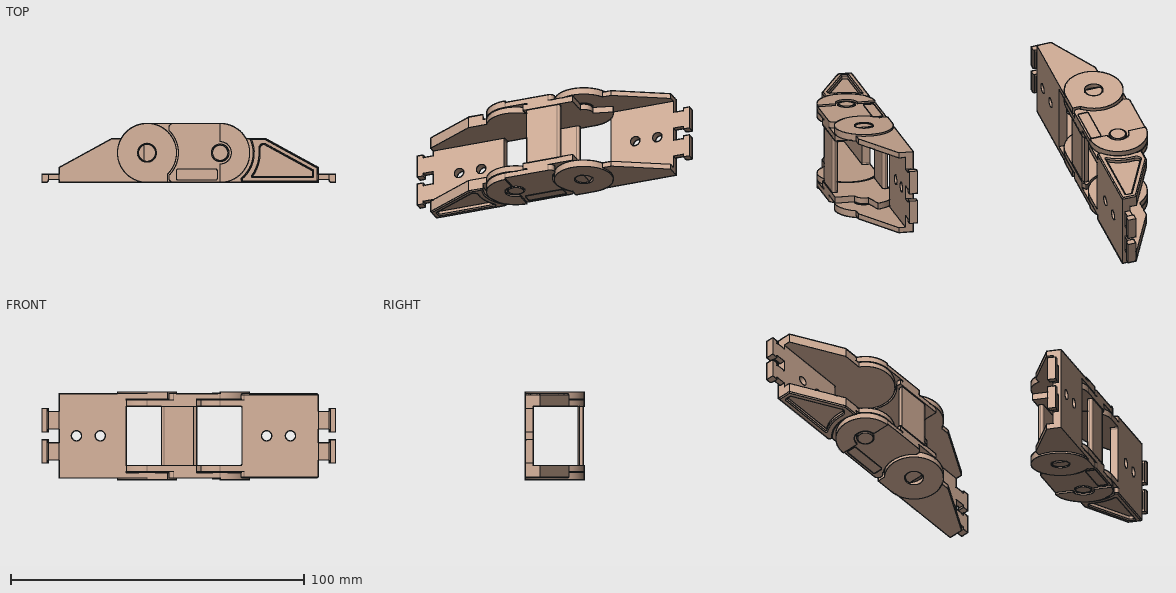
import cadquery as cq
import math

LENGTH = 100.3
FRAME_END = 44.2
THICKNESS = 20.2
OUTER_WIDTH = 30.0
BODY_WIDTH = 28.8
WINDOW_WIDTH = 20.2
HINGE_RADIUS = THICKNESS / 2
HINGE_Y = HINGE_RADIUS
LEFT_HINGE_X = -14.2
RIGHT_HINGE_X = 10.7
TOP_Y = THICKNESS

INNER_FACE = WINDOW_WIDTH / 2
INNER_TOP = 12.2
OUTER_BASE = 12.5
OUTER_FACE = BODY_WIDTH / 2
CAP_FACE = OUTER_WIDTH / 2

PLATE_THICKNESS = 2.8
END_HEIGHT = 5.1
SHOULDER_Y = 14.9
SHOULDER_X = 26.3
LEFT_WINDOW_X = -21.3
RIGHT_WINDOW_X = 18.2
WINDOW_FILLET = 0.5
LEFT_ARM_END = -7.2
LEFT_ARM_LIP = 3.0
RIGHT_HORN_X = 17.9
RIGHT_HORN_FILLET = 1.0
RIGHT_CLEARANCE = 11.2
RIGHT_CHAMFER = 0.4
SCREW_HOLE_RADIUS = 1.7
LEFT_SCREW_XS = (-38.3, -30.2)
RIGHT_SCREW_XS = (26.6, 34.7)

POCKET_MARGIN = 1.6
POCKET_ARC_RADIUS = 13.2
POCKET_DEPTH = 1.5
POCKET_BEVEL = 0.4
POCKET_BEVEL_ANGLE = 45
POCKET_FILLET = 0.5
POCKET_TOP_FILLET = 1.8

TAB_Z = 5.3
HEAD_LENGTH = 2.2
HEAD_WIDTH = 8.0
HEAD_CHAMFER = 0.4
NECK_WIDTH = 6.0
NECK_BASE = 0.9

LEFT_PIN_RADIUS = 2.9
RIGHT_PIN_RADIUS = 2.6
PIN_RISE = 0.3
PIN_FACE = OUTER_FACE + PIN_RISE
LEFT_PIN_HOLE_RADIUS = 3.2
RIGHT_PIN_HOLE_RADIUS = 3.0
CAP_NOTCH_RADIUS = 3.8
RAMP_OFFSET = 1.0
RAMP_X = LEFT_HINGE_X - RAMP_OFFSET
RAMP_DROP = 1.2

LINK_CLEARANCE = 10.7
LINK_HORN_X = -6.8
LINK_HORN_FILLET = 1.6
LINK_TIP_X = 4.1
LINK_TIP_FLAT_X = 2.7
LINK_TIP_HEIGHT = 0.9
STOP_ANGLE = 195
BAR_LEFT = -9.3
BAR_RIGHT = 2.8
BAR_THICKNESS = 1.9
BAR_RECESS = 0.3
BAR_NOSE_RADIUS = 0.9
BAR_BEVEL_WIDTH = 1.1
BAR_BEVEL_DEPTH = 0.5
LABEL_X = (-4.2, 9.7)
LABEL_Y = (0.8, 4.5)
LABEL_DEPTH = 0.2
LABEL_FILLET = 0.5


def block(x, y, z):
    """Box spanning the given (low, high) ranges."""
    size = (x[1] - x[0], y[1] - y[0], z[1] - z[0])
    return cq.Workplane("XY").box(*size, centered=False).translate((x[0], y[0], z[0]))


def disc(x, radius, low, high):
    """Cylinder about the hinge axis at x."""
    return cq.Workplane("XY", origin=(x, HINGE_Y, low)).circle(radius).extrude(high - low)


def prism(points, low, high):
    return cq.Workplane("XY", origin=(0, 0, low)).polyline(points).close().extrude(high - low)


def with_mirror(half):
    """The feature together with its copy below the mirror plane."""
    return half.union(half.mirror("XY"))


def side_outline(side, inner_x):
    """Outline of a frame side, from inner_x out to the sloped end; side is -1 or 1."""
    return [
        (inner_x, 0),
        (side * FRAME_END, 0),
        (side * FRAME_END, END_HEIGHT),
        (side * SHOULDER_X, SHOULDER_Y),
        (inner_x, SHOULDER_Y),
    ]


def screw_holes(xs):
    centers = [(x, 0) for x in xs]
    return cq.Workplane("XZ").pushPoints(centers).circle(SCREW_HOLE_RADIUS).extrude(-PLATE_THICKNESS)


def tabs(side):
    """Two T-shaped tabs on the end of a frame; side is -1 or 1."""
    tip = LENGTH / 2
    head = block(
        (tip - HEAD_LENGTH, tip),
        (0, PLATE_THICKNESS),
        (TAB_Z - HEAD_WIDTH / 2, TAB_Z + HEAD_WIDTH / 2),
    )
    head = head.faces("<Y").edges("<X").chamfer(HEAD_CHAMFER)
    neck = block(
        (FRAME_END, tip - HEAD_LENGTH),
        (NECK_BASE, PLATE_THICKNESS),
        (TAB_Z - NECK_WIDTH / 2, TAB_Z + NECK_WIDTH / 2),
    )
    pair = with_mirror(head.union(neck))
    return pair if side > 0 else pair.mirror("YZ")


def make_left_frame():
    plate = block((-FRAME_END, LEFT_WINDOW_X), (0, PLATE_THICKNESS), (-OUTER_FACE, OUTER_FACE))
    arm = prism(side_outline(-1, LEFT_HINGE_X), OUTER_BASE, OUTER_FACE)
    lip = block((LEFT_HINGE_X, LEFT_ARM_END), (0, LEFT_ARM_LIP), (OUTER_BASE, CAP_FACE))
    arm = arm.union(lip).union(disc(LEFT_HINGE_X, HINGE_RADIUS, OUTER_BASE, CAP_FACE))
    arm = arm.cut(disc(LEFT_HINGE_X, LEFT_PIN_HOLE_RADIUS, OUTER_BASE, CAP_FACE))
    return plate.union(with_mirror(arm)).cut(screw_holes(LEFT_SCREW_XS)).union(tabs(-1))


def side_pocket():
    """Pocket with a beveled rim that runs parallel to the outline of the right frame's side."""
    opening = (
        cq.Workplane("XY")
        .polyline(side_outline(1, RIGHT_HORN_X))
        .close()
        .offset2D(-POCKET_MARGIN)
        .extrude(OUTER_FACE)
        .cut(disc(RIGHT_HINGE_X, POCKET_ARC_RADIUS, 0, OUTER_FACE))
    )
    opening = opening.edges("|Z and >Y").edges("<X").fillet(POCKET_TOP_FILLET)
    opening = opening.edges("|Z and >X").fillet(POCKET_FILLET)
    opening = opening.edges("|Z and <Y").fillet(POCKET_FILLET)
    rim = opening.faces(">Z").wires().val()
    bevel_drop = cq.Vector(0, 0, -POCKET_BEVEL)
    bevel = cq.Workplane(cq.Solid.extrudeLinear(rim, [], bevel_drop, POCKET_BEVEL_ANGLE))
    recess = bevel.faces("<Z").wires().toPending().extrude(POCKET_BEVEL - POCKET_DEPTH)
    return bevel.union(recess)


def make_right_side():
    """One side of the right frame with its hinge disc and pin."""
    wall = prism(side_outline(1, RIGHT_HORN_X), INNER_FACE, OUTER_FACE)
    wall = wall.edges("|Z and <X and <Y").fillet(RIGHT_HORN_FILLET)
    wall = wall.cut(disc(RIGHT_HINGE_X, RIGHT_CLEARANCE, INNER_FACE, OUTER_FACE))
    wall = wall.faces(">Z").edges().chamfer(RIGHT_CHAMFER).cut(side_pocket())
    root = prism(side_outline(1, RIGHT_HINGE_X), INNER_FACE, INNER_TOP)
    hinge = disc(RIGHT_HINGE_X, HINGE_RADIUS, INNER_FACE, INNER_TOP)
    pin = disc(RIGHT_HINGE_X, RIGHT_PIN_RADIUS, INNER_FACE, PIN_FACE)
    return wall.union(root).union(hinge).union(pin)


def make_right_frame():
    plate = block((RIGHT_HORN_X, FRAME_END), (0, PLATE_THICKNESS), (-INNER_FACE, INNER_FACE))
    window = block((RIGHT_HINGE_X, RIGHT_WINDOW_X), (0, PLATE_THICKNESS), (-INNER_FACE, INNER_FACE))
    plate = plate.cut(window.edges("|Y and >X").fillet(WINDOW_FILLET))
    frame = plate.union(with_mirror(make_right_side()))
    return frame.cut(screw_holes(RIGHT_SCREW_XS)).union(tabs(1))


def link_inner_layer():
    """Inner arm layer: a disc about the left hinge, hollowed to clear the right hinge."""
    arm = prism(
        [
            (LEFT_HINGE_X, 0),
            (LINK_TIP_FLAT_X, 0),
            (LINK_TIP_X, LINK_TIP_HEIGHT),
            (LINK_TIP_X, TOP_Y),
            (LEFT_HINGE_X, TOP_Y),
        ],
        INNER_FACE,
        INNER_TOP,
    )
    arm = arm.cut(disc(RIGHT_HINGE_X, LINK_CLEARANCE, INNER_FACE, INNER_TOP))
    reach = 2 * HINGE_RADIUS
    stop_rise = reach * math.tan(math.radians(STOP_ANGLE - 180))
    stop = prism(
        [
            (LEFT_HINGE_X, HINGE_Y),
            (LEFT_HINGE_X, HINGE_Y + reach),
            (LEFT_HINGE_X - reach, HINGE_Y + reach),
            (LEFT_HINGE_X - reach, HINGE_Y - stop_rise),
        ],
        INNER_FACE,
        INNER_TOP,
    )
    hinge = disc(LEFT_HINGE_X, HINGE_RADIUS, INNER_FACE, INNER_TOP).cut(stop)
    hub = disc(LEFT_HINGE_X, LEFT_PIN_HOLE_RADIUS, INNER_FACE, INNER_TOP)
    return arm.union(hinge).union(hub)


def link_pin():
    """Pin with a lead-in ramp on the side away from the link."""
    edge_x = LEFT_HINGE_X - LEFT_PIN_RADIUS
    ramp = (
        cq.Workplane("XZ")
        .polyline([(RAMP_X, PIN_FACE), (edge_x, PIN_FACE), (edge_x, PIN_FACE - RAMP_DROP)])
        .close()
        .extrude(-TOP_Y)
    )
    return disc(LEFT_HINGE_X, LEFT_PIN_RADIUS, INNER_FACE, PIN_FACE).cut(ramp)


def link_outer_layer():
    """Outer arm layer: hollowed to clear the left cap, with a raised half disc at the right hinge."""
    bridge = block((LINK_HORN_X, RIGHT_HINGE_X), (0, TOP_Y), (OUTER_BASE, OUTER_FACE))
    bridge = bridge.edges("|Z and <X").fillet(LINK_HORN_FILLET)
    bridge = bridge.cut(disc(LEFT_HINGE_X, LINK_CLEARANCE, OUTER_BASE, OUTER_FACE))
    right_half = block((RIGHT_HINGE_X, LENGTH / 2), (0, TOP_Y), (OUTER_BASE, CAP_FACE))
    cap = disc(RIGHT_HINGE_X, HINGE_RADIUS, OUTER_BASE, CAP_FACE).intersect(right_half)
    cap = cap.cut(disc(RIGHT_HINGE_X, CAP_NOTCH_RADIUS, OUTER_FACE, CAP_FACE))
    label = block(LABEL_X, LABEL_Y, (OUTER_FACE - LABEL_DEPTH, OUTER_FACE)).edges("|Z").fillet(LABEL_FILLET)
    layer = bridge.union(cap).cut(label)
    return layer.cut(disc(RIGHT_HINGE_X, RIGHT_PIN_HOLE_RADIUS, OUTER_BASE, CAP_FACE))


def link_core():
    """Joins the two arm layers where both are present."""
    core = block((LINK_HORN_X, LINK_TIP_FLAT_X), (0, TOP_Y), (INNER_TOP, OUTER_BASE))
    core = core.edges("|Z and <X").fillet(LINK_HORN_FILLET)
    for hinge_x in (LEFT_HINGE_X, RIGHT_HINGE_X):
        core = core.cut(disc(hinge_x, LINK_CLEARANCE, INNER_TOP, OUTER_BASE))
    return core


def cross_bar(y):
    """Bar between the arms: rounded on the left, beveled on the lower right."""
    section = [
        (BAR_LEFT, y),
        (BAR_RIGHT - BAR_BEVEL_WIDTH, y),
        (BAR_RIGHT, y + BAR_BEVEL_DEPTH),
        (BAR_RIGHT, y + BAR_THICKNESS),
        (BAR_LEFT, y + BAR_THICKNESS),
    ]
    return prism(section, -INNER_FACE, INNER_FACE).edges("|Z and <X").fillet(BAR_NOSE_RADIUS)


def make_link():
    arm = link_inner_layer().union(link_core()).union(link_outer_layer()).union(link_pin())
    link = with_mirror(arm)
    for y in (BAR_RECESS, TOP_Y - BAR_RECESS - BAR_THICKNESS):
        link = link.union(cross_bar(y))
    return link


left_frame = make_left_frame()
link = make_link()
right_frame = make_right_frame()

result = cq.Compound.makeCompound([left_frame.val(), link.val(), right_frame.val()])